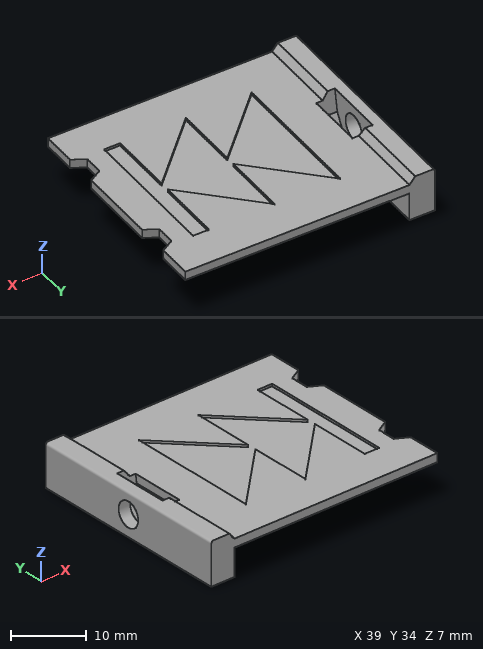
import cadquery as cq

length = 39.0
width = 34.0
height = 7.0
bar_depth = 4.0
plate_bottom = 4.5
plate_top = 5.9
bar_flat_end = 3.12
bar_edge_radius = 0.45

hole_diameter = 4.0
hole_height = height / 2
nut_width = 8.1
nut_floor_opening = nut_width / 2
nut_shoulder_height = hole_height
nut_pocket_start = 2.0
nut_pocket_end = 5.0
nut_entry_width = 9.32

notch_spacing = 17.82
notch_depth = 2.0
notch_mouth = 5.23
notch_floor = 3.0

arrow_start = 11.0
arrow_length = 10.25
arrow_half_height = 11.0
stripe_width = 2.5
engraving_depth = 0.4


def make_body():
    """Extrude the side profile across the width, centred on Y = 0."""
    profile = [
        (0, 0),
        (bar_depth, 0),
        (bar_depth, plate_bottom),
        (length, plate_bottom),
        (length, plate_top),
        (bar_depth, plate_top),
        (bar_flat_end, height),
        (0, height),
    ]
    body = cq.Workplane("XZ").polyline(profile).close().extrude(width / 2, both=True)
    return body.edges("|Y and <X and >Z").fillet(bar_edge_radius)


def make_screw_hole():
    return (
        cq.Workplane("YZ")
        .center(0, hole_height)
        .circle(hole_diameter / 2)
        .extrude(bar_depth)
    )


def make_nut_pocket():
    """Pocket tapering down from its entry to a shoulder, then to an opening in the underside."""
    outline = [
        (-nut_floor_opening / 2, 0),
        (nut_floor_opening / 2, 0),
        (nut_width / 2, nut_shoulder_height),
        (nut_entry_width / 2, height),
        (-nut_entry_width / 2, height),
        (-nut_width / 2, nut_shoulder_height),
    ]
    return (
        cq.Workplane("YZ", origin=(nut_pocket_start, 0, 0))
        .polyline(outline)
        .close()
        .extrude(nut_pocket_end - nut_pocket_start)
    )


def make_notch(center_y):
    outline = [
        (length, center_y - notch_mouth / 2),
        (length - notch_depth, center_y - notch_floor / 2),
        (length - notch_depth, center_y + notch_floor / 2),
        (length, center_y + notch_mouth / 2),
    ]
    return cq.Workplane("XY").polyline(outline).close().extrude(height)


def make_engraving():
    """Two 45 degree arrowheads, each tip running into the next shape, and a stripe."""
    floor = cq.Workplane("XY", origin=(0, 0, plate_top - engraving_depth))
    stripe_start = arrow_start + 2 * arrow_length
    engraving = (
        floor.center(stripe_start + stripe_width / 2, 0)
        .rect(stripe_width, 2 * arrow_half_height)
        .extrude(engraving_depth)
    )
    for index in range(2):
        base_x = arrow_start + index * arrow_length
        arrowhead = [
            (base_x, -arrow_half_height),
            (base_x + arrow_half_height, 0),
            (base_x, arrow_half_height),
        ]
        engraving = engraving.union(floor.polyline(arrowhead).close().extrude(engraving_depth))
    return engraving


result = make_body().cut(make_screw_hole()).cut(make_nut_pocket()).cut(make_engraving())
for side in (-1, 1):
    result = result.cut(make_notch(side * notch_spacing / 2))